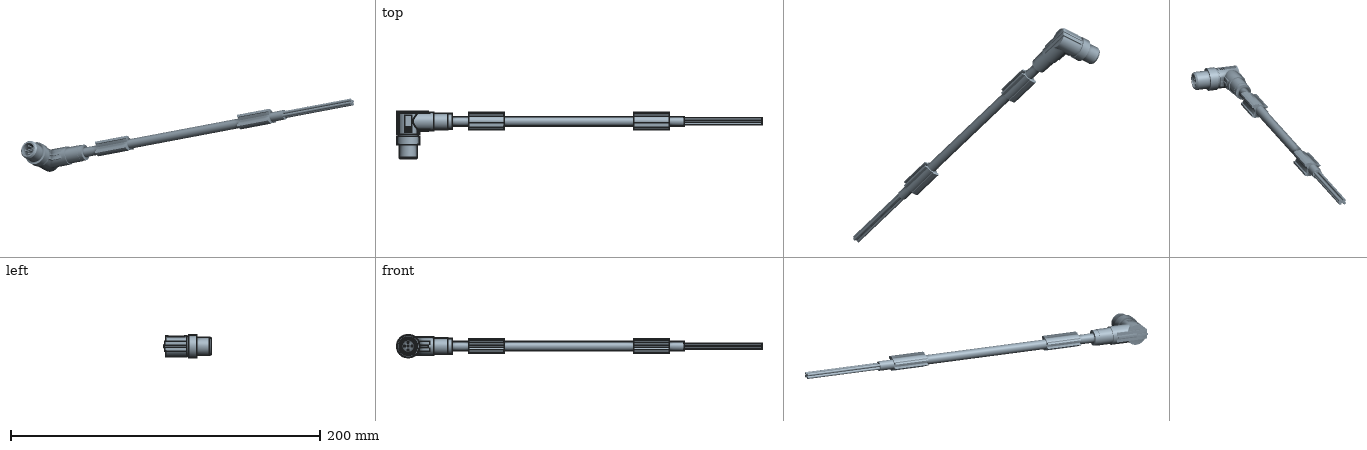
import cadquery as cq
import math

total_length = 236.25
coupling_diameter = 14.77
coupling_radius = coupling_diameter / 2

housing_radius = 6.75
housing_back = 5.15
grip_front = -8.45
neck_radius = 6.5
coupling_back = -9.75
coupling_front = -15.05
sleeve_radius = 5.9
total_depth = 30.8
plug_front = -24.35
sleeve_chamfer = 0.8
sleeve_chamfer_length = 1.2

cavity_radius = 4.2
cavity_depth = 8.0
pin_radius = 0.5
pin_circle_radius = 2.5
pin_recess = 1.0
outer_pin_count = 4

arm_radius = 6.0
arm_end = 16.5
strain_relief_radius = 5.3
strain_relief_end = 25.5
cuff_radius = 5.1
cuff_end = 28.6

pad_half_width = 3.2
pad_end = 13.9
pad_side = 6.9
pad_reach = 5.85
rib_half_width = 0.55
rib_end = 13.0
rib_reach = total_depth + plug_front

window_width = 4.4
window_back = 3.9
window_front = -7.1
window_floor = 6.25
latch_back = -3.6
latch_depth = 0.6
latch_ridge_count = 2
latch_ridge_width = 0.6

cable_radius = 3.1
cable_end = 178.4
wire_radius = 0.9
wire_offset_y = 1.45
wire_offset_z = 0.95
wire_embed = 1.0
wire_end = total_length - coupling_radius

clip_starts = (39.0, 145.8)
clip_length = 23.0
clip_shell_radius = 3.9
clip_shell_front = -3.0
clip_mouth_root = 3.2

clip_throat_half = 0.9
clip_core = 2.5
channel_floor = -3.4
channel_floor_half = 0.6
channel_half = 2.4
lip_inset = -4.3
lip_front = -5.3
lip_top = 3.9
clip_step = -0.8

clip_upper_outline = [
    (channel_floor, 0),
    (channel_floor, channel_floor_half),
    (lip_inset, channel_half),
    (lip_front, channel_half),
    (lip_front, lip_top),
    (-3.9, 4.5),
    (clip_step, 4.7),
    (clip_step, 3.4),
    (clip_mouth_root, 2.2),
    (5.0, 2.2),
    (5.75, 1.5),
    (3.3, clip_throat_half),
    (clip_core, clip_throat_half),
    (clip_core, 0),
]


def cylinder_y(radius, y_start, y_end, x=0.0, z=0.0):
    """Cylinder parallel to Y between two Y positions."""
    return cq.Workplane("XZ", origin=(x, y_start, z)).circle(radius).extrude(y_start - y_end)


def cylinder_x(radius, x_start, x_end, y=0.0, z=0.0):
    """Cylinder parallel to X between two X positions."""
    return cq.Workplane("YZ", origin=(x_start, y, z)).circle(radius).extrude(x_end - x_start)


def block(x_start, x_end, y_start, y_end, z_start, z_end):
    """Box between two corners."""
    size = (x_end - x_start, y_end - y_start, z_end - z_start)
    return cq.Workplane().box(*size, centered=False).translate((x_start, y_start, z_start))


def make_housing():
    housing = cylinder_y(housing_radius, housing_back, grip_front)
    housing = housing.union(cylinder_y(neck_radius, grip_front, coupling_back))
    return housing.union(cylinder_y(coupling_radius, coupling_back, coupling_front))


def make_sleeve():
    """Plug sleeve with a chamfered mouth, a contact cavity and five pins."""
    sleeve = cylinder_y(sleeve_radius, coupling_front, plug_front)
    sleeve = sleeve.faces("<Y").chamfer(sleeve_chamfer_length, sleeve_chamfer)
    cavity_floor = plug_front + cavity_depth
    sleeve = sleeve.cut(cylinder_y(cavity_radius, cavity_floor, plug_front))
    pin_tip = plug_front + pin_recess
    sleeve = sleeve.union(cylinder_y(pin_radius, coupling_front, pin_tip))
    for index in range(outer_pin_count):
        angle = 2 * math.pi * index / outer_pin_count
        x = pin_circle_radius * math.cos(angle)
        z = pin_circle_radius * math.sin(angle)
        sleeve = sleeve.union(cylinder_y(pin_radius, coupling_front, pin_tip, x, z))
    return sleeve


def make_arm():
    arm = cylinder_x(arm_radius, 0, arm_end)
    arm = arm.union(cylinder_x(strain_relief_radius, arm_end, strain_relief_end))
    return arm.union(cylinder_x(cuff_radius, strain_relief_end, cuff_end))


def make_grip(half_width, side, reach, end):
    """L-shaped slab that follows the outside of the housing and the arm."""
    upright = block(-side, side, grip_front, reach, -half_width, half_width)
    return upright.union(block(-side, end, -reach, reach, -half_width, half_width))


def make_window():
    """Flat recess on the housing crown, with a deeper ridged latch slot in front."""
    half = window_width / 2
    window = block(-half, half, window_front, window_back, window_floor, coupling_radius)
    slot_floor = window_floor - latch_depth
    slot = block(-half, half, window_front, latch_back, slot_floor, coupling_radius)
    ridge_pitch = (latch_back - window_front) / (latch_ridge_count + 1)
    for index in range(1, latch_ridge_count + 1):
        ridge_back = window_front + index * ridge_pitch + latch_ridge_width / 2
        ridge_front = ridge_back - latch_ridge_width
        slot = slot.cut(block(-half, half, ridge_front, ridge_back, slot_floor, window_floor))
    return window.union(slot)


def make_wires():
    """Five bare wires: one on the cable axis and four round it."""
    wire_start = cable_end - wire_embed
    wires = cylinder_x(wire_radius, wire_start, wire_end)
    for y in (-wire_offset_y, wire_offset_y):
        for z in (-wire_offset_z, wire_offset_z):
            wires = wires.union(cylinder_x(wire_radius, wire_start, wire_end, y, z))
    return wires


def make_clip(x_start):
    """Snap-on label clip: a shell round the cable, a snap mouth at +Y and a label channel at -Y."""
    x_end = x_start + clip_length
    shell = cylinder_x(clip_shell_radius, x_start, x_end)
    shell = shell.intersect(
        block(x_start, x_end, clip_shell_front, clip_mouth_root, -clip_shell_radius, clip_shell_radius)
    )
    upper = cq.Workplane("YZ", origin=(x_start, 0, 0)).polyline(clip_upper_outline).close()
    upper = upper.extrude(clip_length)
    return shell.union(upper).union(upper.mirror("XY"))


pads = make_grip(pad_half_width, pad_side, pad_reach, pad_end)
ribs = make_grip(rib_half_width, coupling_radius, rib_reach, rib_end)

result = make_housing().union(make_sleeve()).union(make_arm()).union(pads).union(ribs)
result = result.cut(make_window())
result = result.union(cylinder_x(cable_radius, 0, cable_end)).union(make_wires())
for clip_start in clip_starts:
    result = result.union(make_clip(clip_start))